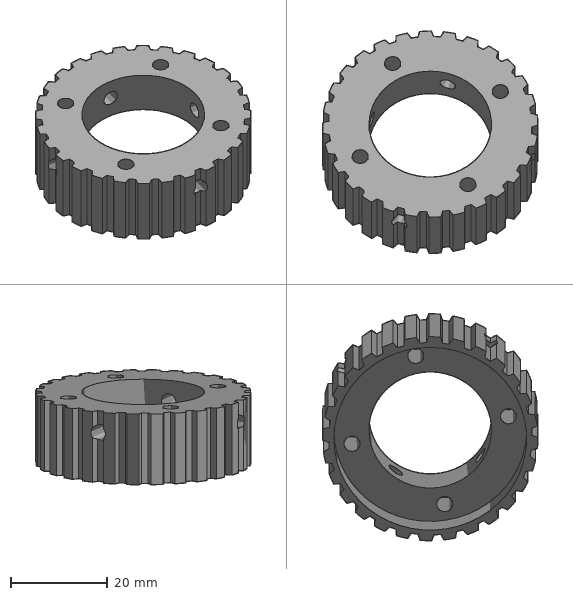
import cadquery as cq
import math

WIDTH = 15.0
BORE_DIAMETER = 25.4
OUTER_DIAMETER = 44.7

RECESS_DIAMETER = 40.0
WEB_THICKNESS = 9.3

TOOTH_COUNT = 28
GROOVE_DEPTH = 1.25
GROOVE_FLOOR_WIDTH = 1.4
GROOVE_FLANK_ANGLE = 25.0

MOUNT_HOLE_DIAMETER = 3.3
MOUNT_CIRCLE_DIAMETER = 33.0
MOUNT_HOLE_COUNT = 4

SCREW_HOLE_DIAMETER = 3.3
SCREW_HOLE_DROP = 4.5

OUTER_RADIUS = OUTER_DIAMETER / 2
PITCH_ANGLE = 360 / TOOTH_COUNT


def polar_point(radius, angle):
    """Point at a radius and an angle in degrees from +X."""
    return (radius * math.cos(math.radians(angle)), radius * math.sin(math.radians(angle)))


def turned(point, angle):
    """Point rotated about the origin by an angle in degrees."""
    c = math.cos(math.radians(angle))
    s = math.sin(math.radians(angle))
    x, y = point
    return (x * c - y * s, x * s + y * c)


def make_toothed_blank():
    """Disc whose outline alternates trapezoidal grooves and arc-topped teeth."""
    half_floor = GROOVE_FLOOR_WIDTH / 2
    half_mouth = half_floor + GROOVE_DEPTH * math.tan(math.radians(GROOVE_FLANK_ANGLE))
    mouth_x = math.sqrt(OUTER_RADIUS**2 - half_mouth**2)
    floor_x = mouth_x - GROOVE_DEPTH

    outline = cq.Workplane("XY").moveTo(mouth_x, -half_mouth)
    for i in range(TOOTH_COUNT):
        angle = i * PITCH_ANGLE
        next_angle = angle + PITCH_ANGLE
        outline = outline.lineTo(*turned((floor_x, -half_floor), angle))
        outline = outline.lineTo(*turned((floor_x, half_floor), angle))
        outline = outline.lineTo(*turned((mouth_x, half_mouth), angle))
        tip_middle = polar_point(OUTER_RADIUS, angle + PITCH_ANGLE / 2)
        outline = outline.threePointArc(tip_middle, turned((mouth_x, -half_mouth), next_angle))
    return outline.close().extrude(WIDTH)


def make_bore():
    return cq.Workplane("XY").circle(BORE_DIAMETER / 2).extrude(WIDTH)


def make_recess():
    return cq.Workplane("XY").circle(RECESS_DIAMETER / 2).extrude(WIDTH - WEB_THICKNESS)


def make_mount_holes():
    start_angle = 180 / MOUNT_HOLE_COUNT
    holes = cq.Workplane("XY").polarArray(MOUNT_CIRCLE_DIAMETER / 2, start_angle, 360, MOUNT_HOLE_COUNT)
    return holes.circle(MOUNT_HOLE_DIAMETER / 2).extrude(WIDTH)


def make_screw_hole(plane):
    """Cylinder crossing the whole pulley, normal to the given plane."""
    hole = cq.Workplane(plane).center(0, WIDTH - SCREW_HOLE_DROP).circle(SCREW_HOLE_DIAMETER / 2)
    return hole.extrude(OUTER_DIAMETER, both=True)


result = make_toothed_blank().cut(make_bore()).cut(make_recess()).cut(make_mount_holes())
for plane in ("XZ", "YZ"):
    result = result.cut(make_screw_hole(plane))